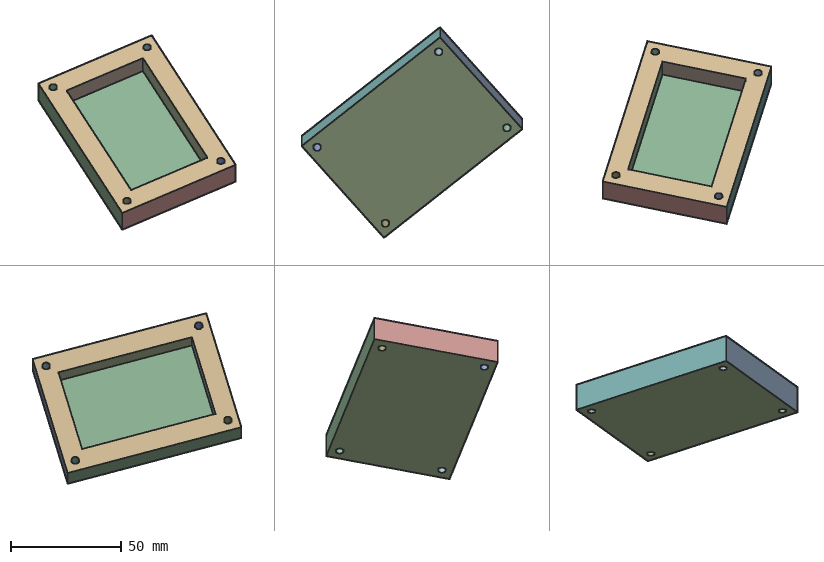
import cadquery as cq

length = 81.9
width = 58.1
height = 13.0

rim_width = 9.5
pocket_depth = 10.0
pocket_length = length - 2 * rim_width
pocket_width = width - 2 * rim_width

hole_diameter = 3.4
hole_inset = 5.0
hole_spacing_x = length - 2 * hole_inset
hole_spacing_y = width - 2 * hole_inset


def make_block():
    """Solid block centred in X and Y, standing on Z = 0."""
    return cq.Workplane("XY").box(length, width, height, centered=(True, True, False))


def cut_pocket(body):
    """Sink the pocket into the top face, leaving a rim of even width."""
    return body.faces(">Z").workplane().rect(pocket_length, pocket_width).cutBlind(-pocket_depth)


def drill_corner_holes(body):
    """Drill a through hole in each corner of the rim."""
    return (
        body.faces(">Z")
        .workplane(origin=(0, 0, height))
        .rect(hole_spacing_x, hole_spacing_y, forConstruction=True)
        .vertices()
        .hole(hole_diameter)
    )


result = drill_corner_holes(cut_pocket(make_block()))